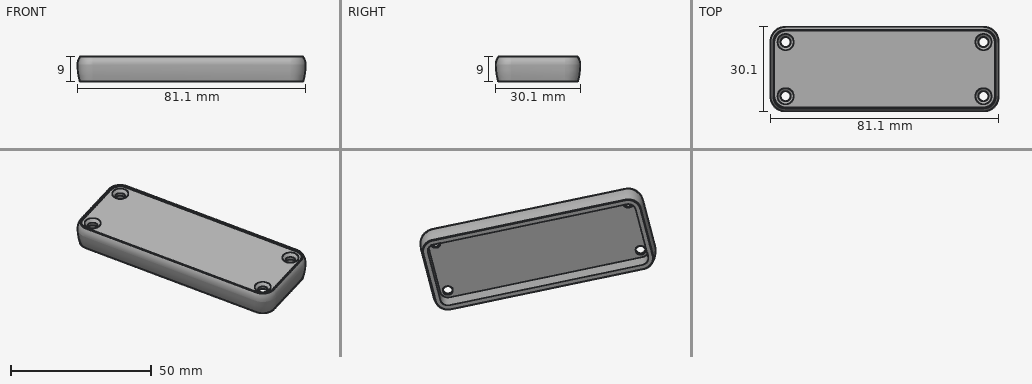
import cadquery as cq

length = 81.1
width = 30.1
height = 9.0
corner_radius = 5.4
parting_height = 6.1

top_inset = 1.05
bottom_inset = 0.8
bottom_chamfer = 0.25

lip_width = 0.4
recess_depth = 0.5
plate_top = height - recess_depth

wall_thickness = 1.6
plate_thickness = 2.35

hole_diameter = 3.5
countersink_diameter = 5.8
countersink_angle = 90.0

corner_x = length / 2 - corner_radius
corner_y = width / 2 - corner_radius


def arc_inset(rise, total_rise, total_inset):
    """Inset at a given rise of an arc that starts vertical and ends at the total inset."""
    radius = (total_rise**2 + total_inset**2) / (2 * total_inset)
    return radius - (radius**2 - rise**2) ** 0.5


def half_section(plane, reach):
    """Half of the wall section, from the local vertical axis out to the given reach."""
    top_rise = height - parting_height
    bottom_rise = parting_height - bottom_chamfer
    lower_middle = (
        reach - arc_inset(bottom_rise / 2, bottom_rise, bottom_inset),
        parting_height - bottom_rise / 2,
    )
    upper_middle = (
        reach - arc_inset(top_rise / 2, top_rise, top_inset),
        parting_height + top_rise / 2,
    )
    rim = reach - top_inset
    lip_inner = rim - lip_width
    return (
        cq.Workplane(plane)
        .moveTo(0, 0)
        .lineTo(reach - bottom_inset - bottom_chamfer, 0)
        .lineTo(reach - bottom_inset, bottom_chamfer)
        .threePointArc(lower_middle, (reach, parting_height))
        .threePointArc(upper_middle, (rim, height))
        .lineTo(lip_inner, height)
        .lineTo(lip_inner, plate_top)
        .lineTo(0, plate_top)
        .close()
    )


def symmetric_bar(plane, reach, half_span, mirror_plane):
    """Straight bar with the wall section on both long sides."""
    half = half_section(plane, reach).extrude(half_span, both=True)
    return half.union(half.mirror(mirror_plane))


body = symmetric_bar("YZ", width / 2, corner_x, "XZ")
body = body.union(symmetric_bar("XZ", length / 2, corner_y, "YZ"))
corner = half_section("XZ", corner_radius).revolve(90, (0, 0), (0, 1))
quadrant_corner = corner.translate((corner_x, corner_y, 0))
for corner_solid in (
    quadrant_corner,
    quadrant_corner.mirror("YZ"),
    quadrant_corner.mirror("XZ"),
    quadrant_corner.mirror("YZ").mirror("XZ"),
):
    body = body.union(corner_solid)

wall_inset = bottom_inset + bottom_chamfer + wall_thickness
cavity = (
    cq.Workplane("XY")
    .rect(length - 2 * wall_inset, width - 2 * wall_inset)
    .extrude(plate_top - plate_thickness)
    .edges("|Z")
    .fillet(corner_radius - wall_inset)
)
body = body.cut(cavity)

result = (
    body.faces(">Z")
    .workplane(offset=-recess_depth, origin=(0, 0, 0))
    .rarray(2 * corner_x, 2 * corner_y, 2, 2)
    .cskHole(hole_diameter, countersink_diameter, countersink_angle)
)